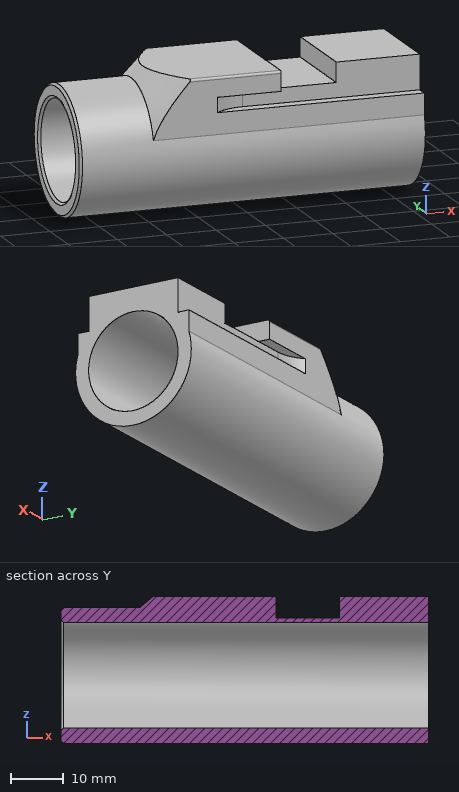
import cadquery as cq
import math

length = 70.0
tube_diameter = 26.0
bore_diameter = 20.0
mouth_chamfer = 0.5
total_height = 28.0

block_width = 24.9
block_start = 15.05
block_edge_radius = 0.5
cone_half_angle = 40.0

rail_width = 20.0
groove_bottom = 8.0
groove_top = 11.0
groove_start = 28.1
cutter_radius = 8.5

notch_start = 40.95
notch_end = 53.0

tube_radius = tube_diameter / 2
block_top = total_height - tube_radius
groove_depth = (block_width - rail_width) / 2
runout = math.sqrt(groove_depth * (2 * cutter_radius - groove_depth))


def make_box(x_min, x_max, y_min, y_max, z_min, z_max):
    """Box given by its limits along each axis."""
    box = cq.Workplane("XY").box(x_max - x_min, y_max - y_min, z_max - z_min, centered=False)
    return box.translate((x_min, y_min, z_min))


def make_tube_body():
    tube = cq.Workplane("YZ").circle(tube_radius).extrude(length)
    return tube.faces("<X").chamfer(mouth_chamfer)


def make_block():
    """Block with rounded top edges and its front trimmed to a cone."""
    half_width = block_width / 2
    block = make_box(block_start, length, -half_width, half_width, 0, block_top)
    block = block.edges("|X and >Z").fillet(block_edge_radius)
    cone_end_radius = tube_radius + (length - block_start) * math.tan(math.radians(cone_half_angle))
    cone = (
        cq.Workplane("XZ")
        .moveTo(block_start, 0)
        .lineTo(block_start, tube_radius)
        .lineTo(length, cone_end_radius)
        .lineTo(length, 0)
        .close()
        .revolve(360, (0, 0, 0), (1, 0, 0))
    )
    return block.intersect(cone)


def make_groove():
    """Groove on the +Y side, open at the far end and closed by a tangent arc."""
    inner = rail_width / 2
    outer = tube_radius
    face = block_width / 2
    arc_angle = math.acos(1 - groove_depth / cutter_radius) / 2
    arc_end = groove_start + runout
    arc_middle = (
        arc_end - cutter_radius * math.sin(arc_angle),
        inner + cutter_radius * (1 - math.cos(arc_angle)),
    )
    return (
        cq.Workplane("XY", origin=(0, 0, groove_bottom))
        .moveTo(groove_start, face)
        .threePointArc(arc_middle, (arc_end, inner))
        .lineTo(length, inner)
        .lineTo(length, outer)
        .lineTo(groove_start, outer)
        .close()
        .extrude(groove_top - groove_bottom)
    )


def make_shoulder():
    """Clearance above the +Y groove, open to the top."""
    return make_box(notch_start, length, rail_width / 2, tube_radius, groove_bottom, block_top)


def make_notch():
    return make_box(notch_start, notch_end, -tube_radius, tube_radius, groove_top, block_top)


def make_bore():
    bore_radius = bore_diameter / 2
    bore = cq.Workplane("YZ").circle(bore_radius).extrude(length)
    countersink = cq.Solid.makeCone(
        bore_radius + mouth_chamfer, bore_radius, mouth_chamfer, cq.Vector(0, 0, 0), cq.Vector(1, 0, 0)
    )
    return bore.union(cq.Workplane(obj=countersink))


side_cut = make_groove().union(make_shoulder())

result = make_tube_body().union(make_block())
result = result.cut(side_cut).cut(side_cut.mirror("XZ"))
result = result.cut(make_notch()).cut(make_bore())